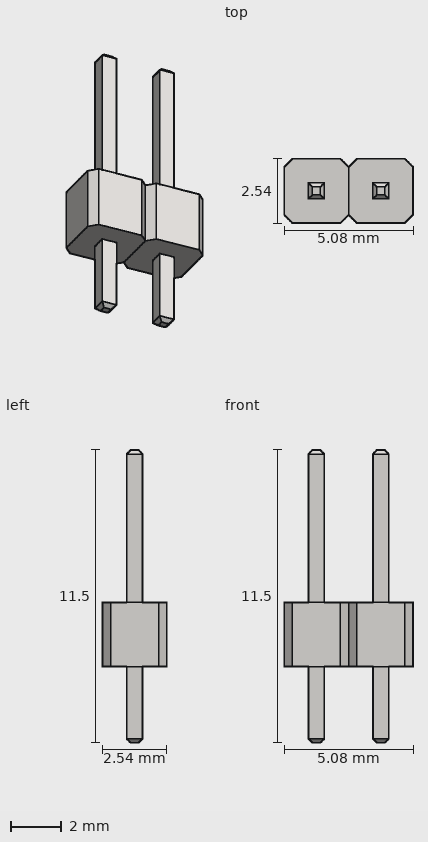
import cadquery as cq

module_count = 2
pitch = 2.54
block_height = 2.54
corner_chamfer = 0.32
pin_length = 11.54
pin_width = 0.63
tip_chamfer = 0.16
tail_length = 3.0


def make_block():
    """Square insulator block with its four vertical edges chamfered."""
    return (
        cq.Workplane("XY")
        .workplane(offset=tail_length)
        .rect(pitch, pitch)
        .extrude(block_height)
        .edges("|Z")
        .chamfer(corner_chamfer)
    )


def make_pin():
    """Square pin standing on Z = 0, tapered at both ends."""
    return (
        cq.Workplane("XY")
        .rect(pin_width, pin_width)
        .extrude(pin_length)
        .faces("<Z or >Z")
        .chamfer(tip_chamfer)
    )


def make_module(center_x):
    """One header position: a block and its pin as a single solid."""
    return make_block().union(make_pin()).translate((center_x, 0, 0))


first_x = -pitch * (module_count - 1) / 2
modules = [make_module(first_x + i * pitch) for i in range(module_count)]

result = cq.Compound.makeCompound([module.val() for module in modules])